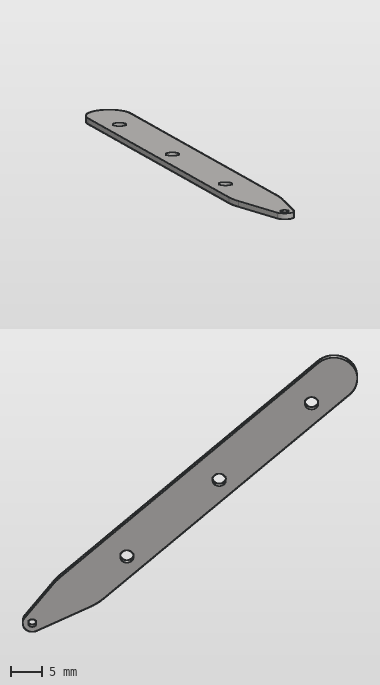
import cadquery as cq
import math

length = 69.9
width = 7.5
thickness = 1.0

tip_radius = 1.55
tip_hole_diameter = 1.3
hole_diameter = 2.2
first_hole_x = 9.3
hole_spacing = 20.0
hole_count = 3
center_offset = 0.8

lower_corner_x = 58.3
upper_corner_x = 60.4
shoulder_radius = 10.0

end_radius = width / 2
tip_x = length - tip_radius
tip_y = center_offset


def tip_tangent_point(corner_x, side):
    """Point where the taper from a corner touches the tip; side is 1 (upper) or -1 (lower)."""
    run = tip_x - corner_x
    rise = width / 2 - side * tip_y
    distance = math.hypot(run, rise)
    taper_angle = math.atan2(rise, run) - math.asin(tip_radius / distance)
    return (
        tip_x + tip_radius * math.sin(taper_angle),
        tip_y + side * tip_radius * math.cos(taper_angle),
    )


plate = (
    cq.Workplane("XY")
    .moveTo(end_radius, -width / 2)
    .lineTo(lower_corner_x, -width / 2)
    .lineTo(*tip_tangent_point(lower_corner_x, -1))
    .threePointArc((length, tip_y), tip_tangent_point(upper_corner_x, 1))
    .lineTo(upper_corner_x, width / 2)
    .lineTo(end_radius, width / 2)
    .threePointArc((0, 0), (end_radius, -width / 2))
    .close()
    .extrude(thickness)
)

for corner in [(lower_corner_x, -width / 2), (upper_corner_x, width / 2)]:
    shoulder_edge = cq.selectors.NearestToPointSelector((*corner, thickness / 2))
    plate = plate.edges("|Z").edges(shoulder_edge).fillet(shoulder_radius)

row_points = [(first_hole_x + i * hole_spacing, -center_offset) for i in range(hole_count)]
row_holes = cq.Workplane("XY").pushPoints(row_points).circle(hole_diameter / 2).extrude(thickness)

tip_hole = cq.Workplane("XY").center(tip_x, tip_y).circle(tip_hole_diameter / 2).extrude(thickness)

result = plate.cut(row_holes).cut(tip_hole)